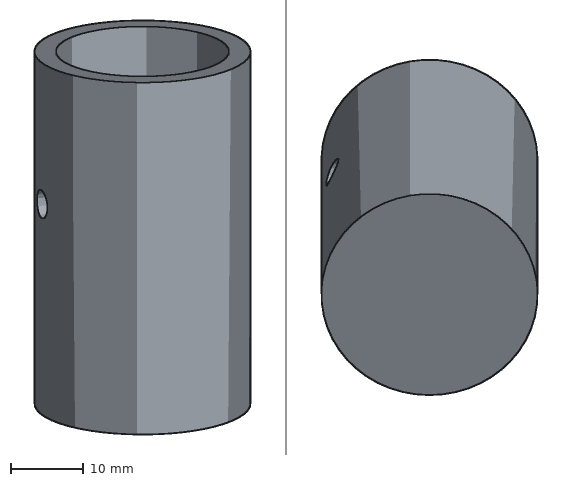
import cadquery as cq

outer_diameter = 30.0
bore_diameter = 24.0
height = 51.0
bore_depth = 23.0
side_hole_diameter = 4.0
side_hole_height = 30.5


def make_cup():
    """Upright cylinder with a flat-bottomed blind bore open at the top."""
    body = cq.Workplane("XY").circle(outer_diameter / 2).extrude(height)
    bore = (
        cq.Workplane("XY")
        .workplane(offset=height - bore_depth)
        .circle(bore_diameter / 2)
        .extrude(bore_depth)
    )
    return body.cut(bore)


def make_side_hole():
    """Radial cutter running from the axis out through the -Y wall only."""
    return (
        cq.Workplane("XZ")
        .center(0, side_hole_height)
        .circle(side_hole_diameter / 2)
        .extrude(outer_diameter / 2)
    )


result = make_cup().cut(make_side_hole())